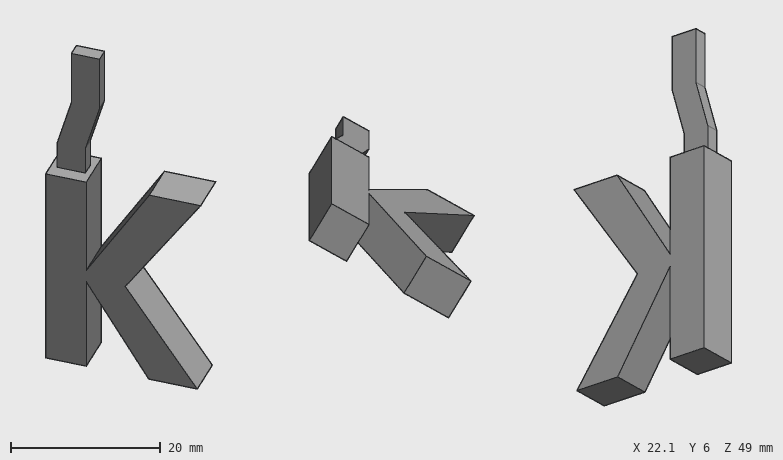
import cadquery as cq

letter_height = 30.0
letter_width = 22.05
letter_depth = 6.0
stem_width = 5.8
upper_notch_z = 15.65
lower_notch_z = 13.75
upper_leg_left_x = 14.75
lower_leg_left_x = 14.65
lower_leg_right_x = 21.55
crotch_x = 11.3
crotch_z = 14.3

total_height = 49.0
tang_width = 4.0
tang_depth = 2.0
tang_left_x = 0.95
tang_offset = 2.0
tang_foot_height = 4.0
tang_head_height = 8.0
crank_bottom_z = letter_height + tang_foot_height
crank_top_z = total_height - tang_head_height


def extrude_outline(points, depth):
    """Extrude a closed XZ outline symmetrically about the plane Y = 0."""
    return cq.Workplane("XZ").polyline(points).close().extrude(depth / 2, both=True)


def make_letter():
    outline = [
        (0, 0),
        (stem_width, 0),
        (stem_width, lower_notch_z),
        (lower_leg_left_x, 0),
        (lower_leg_right_x, 0),
        (crotch_x, crotch_z),
        (letter_width, letter_height),
        (upper_leg_left_x, letter_height),
        (stem_width, upper_notch_z),
        (stem_width, letter_height),
        (0, letter_height),
    ]
    return extrude_outline(outline, letter_depth)


def make_tang():
    left_edge = [
        (tang_left_x, letter_height),
        (tang_left_x, crank_bottom_z),
        (tang_left_x + tang_offset, crank_top_z),
        (tang_left_x + tang_offset, total_height),
    ]
    right_edge = [(x + tang_width, z) for x, z in reversed(left_edge)]
    return extrude_outline(left_edge + right_edge, tang_depth)


letter = make_letter()
tang = make_tang()
result = cq.Compound.makeCompound([letter.val(), tang.val()])